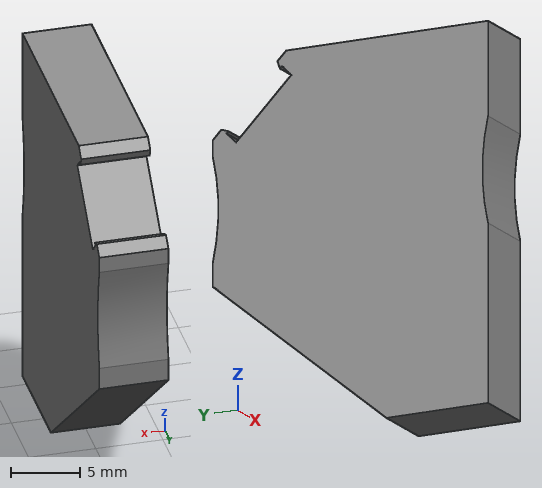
import cadquery as cq

thickness = 5.15
depth = 22.3
height = 28.8

slope_run = 14.05
slope_rise = 11.8

grip_bottom = 13.56
grip_top = 21.63
grip_sagitta = 0.45

hook_half = [
    (0, 5.95),
    (0.72, 5.25),
    (1.3, 5.45),
    (1.12, 5.6),
    (1.9, 6.36),
]

mirrored_hook = [(down, inward) for inward, down in reversed(hook_half)]

front = -depth / 2
back = depth / 2
bottom = -height / 2
top = height / 2
grip_middle = (grip_bottom + grip_top) / 2


def recess_point(inward, down):
    """Convert distances from the upper +Y corner to profile coordinates."""
    return (back - inward, top - down)


profile = (
    cq.Workplane("YZ", origin=(-thickness / 2, 0, 0))
    .moveTo(front, bottom)
    .lineTo(back - slope_run, bottom)
    .lineTo(back, bottom + slope_rise)
    .lineTo(back, bottom + grip_bottom)
    .threePointArc((back - grip_sagitta, bottom + grip_middle), (back, bottom + grip_top))
)
for inward, down in hook_half + mirrored_hook:
    profile = profile.lineTo(*recess_point(inward, down))

profile = (
    profile.lineTo(front, top)
    .lineTo(front, bottom + grip_top)
    .threePointArc((front + grip_sagitta, bottom + grip_middle), (front, bottom + grip_bottom))
    .close()
)

result = profile.extrude(thickness)